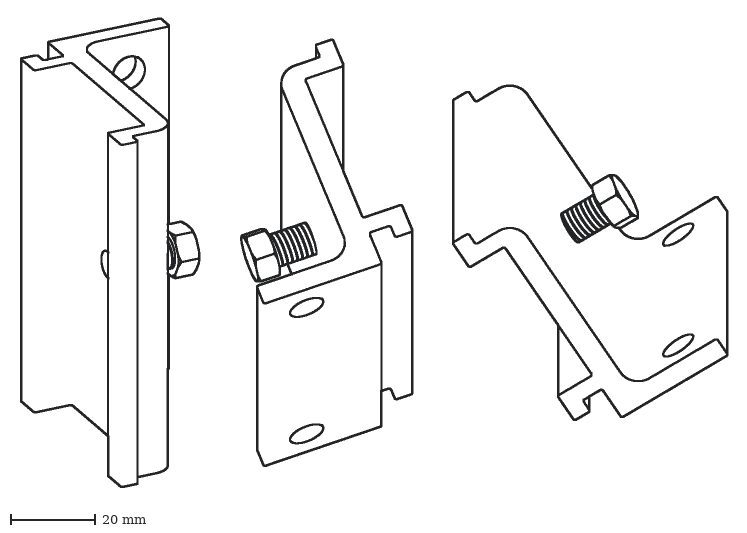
import cadquery as cq
import math

length = 90.0
width = 59.6
depth = 40.0
flange_thickness = 5.0
web_back = 15.9
web_thickness = 6.0
web_front = web_back - web_thickness
foot_width = 7.6
lip_reach = 3.3
lip_thickness = 4.5
left_foot_start = 5.4
left_foot_end = left_foot_start + foot_width
left_leg_outside = left_foot_start + lip_reach
right_foot_start = width - foot_width
right_leg_outside = width - lip_reach
bend_radius = 5.0
edge_radius = 0.5

mount_hole_diameter = 8.5
mount_hole_y = 29.1
mount_hole_inset = 10.0

bolt_x = 32.3
bolt_z = length / 2
shank_diameter = 8.0
shank_length = 9.9
tip_diameter = 6.8
head_corner_diameter = 13.0
head_height = 5.6
head_chamfer_reach = 0.7
head_chamfer_height = 0.45
thread_pitch = 1.3
thread_start = -0.9
thread_depth = 0.1
thread_opening = 0.2


def make_bracket():
    outline = [
        (0, depth),
        (flange_thickness, depth),
        (flange_thickness, web_back),
        (right_leg_outside, web_back),
        (right_leg_outside, lip_thickness),
        (width, lip_thickness),
        (width, 0),
        (right_foot_start, 0),
        (right_foot_start, web_front),
        (left_foot_end, web_front),
        (left_foot_end, 0),
        (left_foot_start, 0),
        (left_foot_start, lip_thickness),
        (left_leg_outside, lip_thickness),
        (left_leg_outside, web_front),
        (0, web_front),
    ]
    body = cq.Workplane("XY").polyline(outline).close().extrude(length)

    bend_corners = [(flange_thickness, web_back), (right_leg_outside, web_back)]
    small_corners = [corner for corner in outline if corner not in bend_corners]
    body = fillet_long_edges(body, bend_corners, bend_radius)
    body = fillet_long_edges(body, small_corners, edge_radius)

    for z in (mount_hole_inset, length - mount_hole_inset):
        hole = (
            cq.Workplane("YZ")
            .center(mount_hole_y, z)
            .circle(mount_hole_diameter / 2)
            .extrude(flange_thickness)
        )
        body = body.cut(hole)

    bolt_hole = cq.Workplane("XY").circle(tip_diameter / 2).extrude(web_thickness)
    return body.cut(place_on_bolt_axis(bolt_hole, web_front))


def fillet_long_edges(body, corners, radius):
    """Round the edges along Z that pass through the given profile corners."""
    edges = cq.Workplane("XY")
    for x, y in corners:
        nearest = cq.selectors.NearestToPointSelector((x, y, length / 2))
        edges = edges.add(body.edges("|Z").edges(nearest).val())
    return body.newObject([body.val().fillet(radius, edges.vals())])


def place_on_bolt_axis(shape, start_y):
    """Turn a shape built along +Z to point along +Y, starting at start_y on the bolt axis."""
    return shape.rotate((0, 0, 0), (1, 0, 0), -90).translate((bolt_x, start_y, bolt_z))


def make_head():
    """Hexagon with corners on the X axis, trimmed by cones at both ends."""
    hexagon = cq.Workplane("XY").polygon(6, head_corner_diameter).extrude(head_height)
    corner_radius = head_corner_diameter / 2
    face_radius = corner_radius - head_chamfer_reach
    trim = (
        cq.Workplane("XZ")
        .moveTo(0, 0)
        .lineTo(face_radius, 0)
        .lineTo(corner_radius, head_chamfer_height)
        .lineTo(corner_radius, head_height - head_chamfer_height)
        .lineTo(face_radius, head_height)
        .lineTo(0, head_height)
        .close()
        .revolve(360, (0, 0, 0), (0, 1, 0))
    )
    return hexagon.intersect(trim)


def make_groove_turn():
    """One right-handed turn of the V groove, starting at Z = 0."""
    radius = shank_diameter / 2
    overcut = thread_depth
    half_mouth = thread_opening / 2 * (thread_depth + overcut) / thread_depth
    path = cq.Wire.makeHelix(thread_pitch, thread_pitch, radius)
    return (
        cq.Workplane("XZ")
        .moveTo(radius - thread_depth, 0)
        .lineTo(radius + overcut, half_mouth)
        .lineTo(radius + overcut, -half_mouth)
        .close()
        .sweep(cq.Workplane(obj=path), isFrenet=True)
    )


def make_shank():
    """Cylinder whose groove runs past both ends, cut turn by turn."""
    shank = cq.Workplane("XY").circle(shank_diameter / 2).extrude(shank_length)
    groove_turn = make_groove_turn()
    turns = math.ceil((shank_length - thread_start) / thread_pitch)
    for turn in range(turns):
        shank = shank.cut(groove_turn.translate((0, 0, thread_start + turn * thread_pitch)))
    return shank


def make_bolt():
    tip = cq.Workplane("XY").circle(tip_diameter / 2).extrude(web_thickness)
    shank = make_shank().translate((0, 0, web_thickness))
    head = make_head().translate((0, 0, web_thickness + shank_length))
    return place_on_bolt_axis(tip.union(shank).union(head), web_front)


bracket = make_bracket()
bolt = make_bolt()

result = cq.Compound.makeCompound([*bracket.solids().vals(), *bolt.solids().vals()])